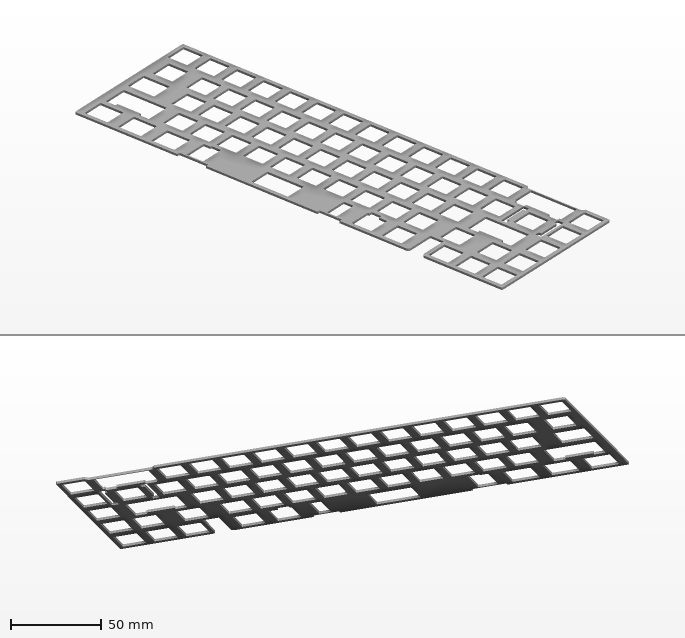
import cadquery as cq

plate_length = 304.8
plate_thickness = 1.5
column_count = 16
row_count = 5
key_pitch = plate_length / column_count
plate_width = row_count * key_pitch
corner_radius = 1.0
opening_radius = 0.5
cut_depth = 3 * plate_thickness

switch_size = 14.0
half_switch = switch_size / 2

stabilizer_spacing = 23.8
stabilizer_width = 7.0
stabilizer_reach = 8.8

short_bar_column = 6.875
long_bar_column = 7.5
short_bar_spacing = 100.0
long_bar_spacing = 6 * key_pitch
short_bar_slot_top = 8.2
long_bar_slot_top = 9.0
bar_slot_bottom = 6.7
clearance_width = 16.0
edge_notch_depth = 1.8

bracket_column = 14.25
bracket_height = 19.8
left_bracket_offset = 13.5
left_bracket_stem = 2.0
left_bracket_arm = 4.0
right_bracket_offset = 15.2
right_bracket_stem = 2.5
right_bracket_arm = 4.3

relief_columns = (13, 15)
relief_slope = 1.5

gap_columns = (12.5, 13)
gap_corner_radius = 1.8

first_row = [i + 0.5 for i in range(13)] + [15.5]
second_row = [0.75] + [i + 2.0 for i in range(12)] + [bracket_column, 15.5]
third_row = [i + 2.25 for i in range(11)] + [15.5]
fourth_row = [i + 2.75 for i in range(10)] + [13.125, 14.5, 15.5]
fifth_row = [10.625, 11.75, 13.5, 14.5, 15.5]
plain_rows = [first_row, second_row, third_row, fourth_row, fifth_row]

stretched_openings = [
    (0, 13.5, 14.5),
    (2, 0.625, 0.875),
    (4, 0.625, 0.75),
    (4, 1.875, 2.0),
    (4, 3.125, 3.25),
    (4, short_bar_column, long_bar_column),
]

wide_openings = [(2, 13.875), (3, 1.125)]
backspace = (0, 14.0)


def column_x(column):
    """X of a position counted in key pitches from the left edge."""
    return column * key_pitch - plate_length / 2


def row_y(row):
    """Y of the key centres in a row, counted from the rear."""
    return plate_width / 2 - (row + 0.5) * key_pitch


def box_between(x_min, x_max, y_min, y_max):
    """Cutter through the plate over the given rectangle, with rounded corners."""
    return (
        cq.Workplane("XY")
        .box(x_max - x_min, y_max - y_min, cut_depth)
        .edges("|Z")
        .fillet(opening_radius)
        .translate(((x_min + x_max) / 2, (y_min + y_max) / 2, 0))
    )


def switch_cutter(row, first_column, last_column):
    """Opening of switch height reaching from one switch position to another."""
    return box_between(
        column_x(first_column) - half_switch,
        column_x(last_column) + half_switch,
        row_y(row) - half_switch,
        row_y(row) + half_switch,
    )


def stabilizer_cutters(row, column):
    """Two slots that reach below the switch opening of a wide key."""
    cutters = []
    for side in (-1, 1):
        x = column_x(column) + side * stabilizer_spacing / 2
        cutters.append(
            box_between(
                x - stabilizer_width / 2,
                x + stabilizer_width / 2,
                row_y(row) - stabilizer_reach,
                row_y(row),
            )
        )
    return cutters


def wide_cutter(row, column):
    """Opening across the switch and both stabilizers."""
    half_width = (stabilizer_spacing + stabilizer_width) / 2
    x = column_x(column)
    y = row_y(row)
    return box_between(x - half_width, x + half_width, y - half_switch, y + half_switch)


def bar_slot(x, slot_top):
    """Slot for one spacebar stabilizer."""
    y = row_y(row_count - 1)
    return box_between(
        x - stabilizer_width / 2, x + stabilizer_width / 2, y - bar_slot_bottom, y + slot_top
    )


def bar_clearance(x):
    """Shallow notch in the front edge below a spacebar stabilizer."""
    edge_y = -plate_width / 2
    return box_between(
        x - clearance_width / 2,
        x + clearance_width / 2,
        edge_y - edge_notch_depth,
        edge_y + edge_notch_depth,
    )


def bracket_cutter(outer_x, inward, stem, arm):
    """C-shaped slot with its arms pointing inward (+1 or -1 along X)."""
    y = row_y(1)
    half_height = bracket_height / 2
    stem_x = outer_x + inward * stem
    arm_x = outer_x + inward * arm
    return (
        cq.Workplane("XY")
        .workplane(offset=-cut_depth / 2)
        .moveTo(outer_x, y - half_height)
        .lineTo(arm_x, y - half_height)
        .lineTo(arm_x, y - half_switch)
        .lineTo(stem_x, y - half_switch)
        .lineTo(stem_x, y + half_switch)
        .lineTo(arm_x, y + half_switch)
        .lineTo(arm_x, y + half_height)
        .lineTo(outer_x, y + half_height)
        .close()
        .extrude(cut_depth)
        .edges("|Z")
        .fillet(opening_radius)
    )


def plate_blank():
    """Plate outline with the rear relief and the open gap in the front edge."""
    left = -plate_length / 2
    right = plate_length / 2
    rear = plate_width / 2
    front = -rear
    relief_left, relief_right = [column_x(column) for column in relief_columns]
    relief_y = rear - edge_notch_depth
    gap_left, gap_right = [column_x(column) for column in gap_columns]
    gap_y = front + key_pitch
    plate = (
        cq.Workplane("XY")
        .workplane(offset=-plate_thickness / 2)
        .moveTo(left, front)
        .lineTo(gap_left, front)
        .lineTo(gap_left, gap_y)
        .lineTo(gap_right, gap_y)
        .lineTo(gap_right, front)
        .lineTo(right, front)
        .lineTo(right, rear)
        .lineTo(relief_right + relief_slope, rear)
        .lineTo(relief_right, relief_y)
        .lineTo(relief_left, relief_y)
        .lineTo(relief_left - relief_slope, rear)
        .lineTo(left, rear)
        .close()
        .extrude(plate_thickness)
    )
    end_corners = plate.edges("|Z").edges("<X or >X")
    plate = end_corners.fillet(corner_radius)
    gap_corners = cq.selectors.BoxSelector(
        (gap_left - corner_radius, front - corner_radius, -cut_depth),
        (gap_right + corner_radius, front + corner_radius, cut_depth),
    )
    return plate.edges("|Z").edges(gap_corners).fillet(gap_corner_radius)


cutters = []
for row, columns in enumerate(plain_rows):
    cutters += [switch_cutter(row, column, column) for column in columns]
cutters += [switch_cutter(*opening) for opening in stretched_openings]

for wide_key in wide_openings:
    cutters.append(wide_cutter(*wide_key))
    cutters += stabilizer_cutters(*wide_key)
cutters += stabilizer_cutters(*backspace)

short_bar_left = column_x(short_bar_column) - short_bar_spacing / 2
short_bar_right = column_x(short_bar_column) + short_bar_spacing / 2
long_bar_left = column_x(long_bar_column) - long_bar_spacing / 2
long_bar_right = column_x(long_bar_column) + long_bar_spacing / 2
cutters += [bar_slot(x, short_bar_slot_top) for x in (short_bar_left, short_bar_right)]
cutters += [bar_slot(x, long_bar_slot_top) for x in (long_bar_left, long_bar_right)]
cutters += [bar_clearance(x) for x in (short_bar_left, long_bar_left, short_bar_right)]

bracket_x = column_x(bracket_column)
cutters.append(
    bracket_cutter(bracket_x - left_bracket_offset, 1, left_bracket_stem, left_bracket_arm)
)
cutters.append(
    bracket_cutter(bracket_x + right_bracket_offset, -1, right_bracket_stem, right_bracket_arm)
)

cutter_solids = [cutter.val() for cutter in cutters]
pierced_plate = plate_blank().val().cut(*cutter_solids)
result = cq.Workplane("XY").newObject(pierced_plate.Solids())